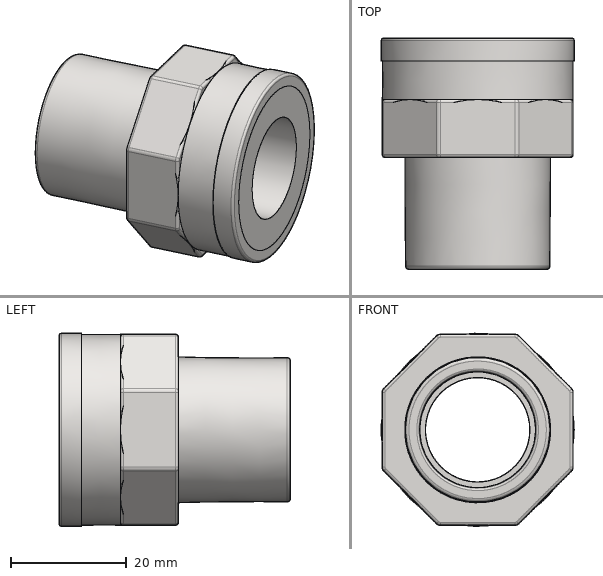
import cadquery as cq
import math


TOTAL_LENGTH = 39.98
GRIP_LENGTH = 10.05
COLLAR_LENGTH = 10.6
RING_LENGTH = 3.9
GRIP_BACK = TOTAL_LENGTH - COLLAR_LENGTH
GRIP_FRONT = GRIP_BACK - GRIP_LENGTH
RING_FRONT = TOTAL_LENGTH - RING_LENGTH

RING_DIAMETER = 33.4
RING_SEAT_DIAMETER = 29.0
GRIP_ACROSS_FLATS = 33.02
COLLAR_FRONT_DIAMETER = 33.0
COLLAR_BACK_DIAMETER = GRIP_ACROSS_FLATS
SPIGOT_ROOT_DIAMETER = 25.23
SPIGOT_MOUTH_DIAMETER = 24.95

BORE_DIAMETER = 18.0
SOCKET_BOTTOM_DIAMETER = 20.0
SOCKET_MOUTH_DIAMETER = 20.23
SOCKET_DEPTH = 16.0

GRIP_SIDES = 8
GRIP_CORNER_RADIUS = 0.9
GRIP_EDGE_RADIUS = 0.5
SPIGOT_OUTER_RADIUS = 0.6
SPIGOT_INNER_RADIUS = 0.4
RING_EDGE_RADIUS = 0.45


def cone(y_start, diameter_start, y_end, diameter_end):
    """Solid on the Y axis that tapers between two diameters."""
    return (
        cq.Workplane("XY")
        .moveTo(0, y_start)
        .lineTo(diameter_start / 2, y_start)
        .lineTo(diameter_end / 2, y_end)
        .lineTo(0, y_end)
        .close()
        .revolve(360, (0, 0, 0), (0, 1, 0))
    )


def cylinder(y_start, y_end, diameter):
    """Solid on the Y axis with one diameter."""
    return cone(y_start, diameter, y_end, diameter)


def make_grip():
    """Octagonal prism with flats facing X and Z, rounded on every edge.

    Its back rounding fades out at the middle of each flat, where a cone runs into the collar.
    """
    half_step = math.pi / GRIP_SIDES
    corner_distance = GRIP_ACROSS_FLATS / 2 / math.cos(half_step)
    corner_angles = [(2 * side + 1) * half_step for side in range(GRIP_SIDES)]
    corners = [
        (corner_distance * math.cos(angle), corner_distance * math.sin(angle))
        for angle in corner_angles
    ]
    prism = (
        cq.Workplane("XZ", origin=(0, GRIP_FRONT, 0))
        .polyline(corners)
        .close()
        .extrude(-GRIP_LENGTH)
    )
    prism = prism.edges("|Y").fillet(GRIP_CORNER_RADIUS)
    rounded = prism.faces("<Y or >Y").edges().fillet(GRIP_EDGE_RADIUS)

    flare_front = GRIP_BACK - GRIP_EDGE_RADIUS
    flare_diameter = COLLAR_FRONT_DIAMETER + 2 * GRIP_EDGE_RADIUS
    flare = cone(flare_front, flare_diameter, GRIP_BACK, COLLAR_FRONT_DIAMETER)
    return rounded.union(flare.intersect(prism))


def make_spigot():
    """Tapered tube end, narrowest at its rounded mouth, ending at the grip."""
    tapered = cone(0, SPIGOT_MOUTH_DIAMETER, GRIP_FRONT, SPIGOT_ROOT_DIAMETER)
    return tapered.faces("<Y").edges().fillet(SPIGOT_OUTER_RADIUS)


def make_adapter():
    """Spigot, grip and collar in one piece, bored through."""
    collar = cone(GRIP_BACK, COLLAR_FRONT_DIAMETER, RING_FRONT, COLLAR_BACK_DIAMETER)
    ring_seat = cylinder(RING_FRONT, TOTAL_LENGTH, RING_SEAT_DIAMETER)
    outside = make_grip().union(make_spigot()).union(collar).union(ring_seat)

    bore = cylinder(0, TOTAL_LENGTH, BORE_DIAMETER)
    socket = cone(0, SOCKET_MOUTH_DIAMETER, SOCKET_DEPTH, SOCKET_BOTTOM_DIAMETER)
    bored = outside.cut(bore).cut(socket)

    mouth_rim = cq.selectors.RadiusNthSelector(0)
    return bored.faces("<Y").edges(mouth_rim).fillet(SPIGOT_INNER_RADIUS)


def make_ring():
    """Reinforcing ring around the back end of the adapter."""
    disc = cylinder(RING_FRONT, TOTAL_LENGTH, RING_DIAMETER)
    rounded = disc.faces(">Y").edges().fillet(RING_EDGE_RADIUS)
    return rounded.cut(cylinder(RING_FRONT, TOTAL_LENGTH, RING_SEAT_DIAMETER))


adapter = make_adapter()
ring = make_ring()

result = cq.Compound.makeCompound([adapter.solids().val(), ring.solids().val()])